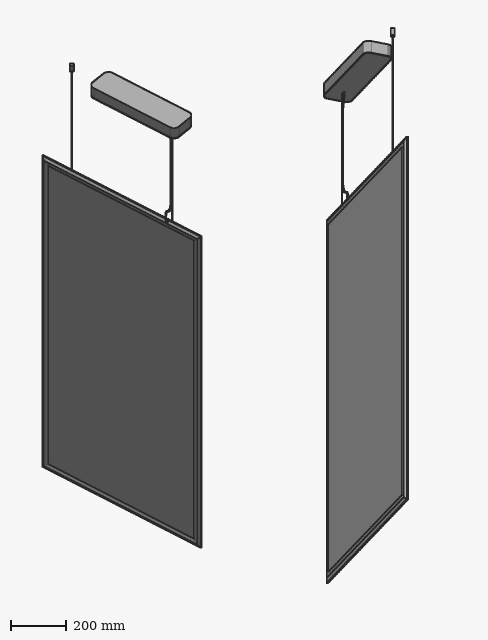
import cadquery as cq

frame_width = 734.69
frame_height = 1469.11
overall_height = 1969.11

rim_depth = 5.0
outer_slope_width = 13.0
outer_slope_rise = 6.0
inner_slope_width = 17.0
inner_slope_drop = 2.8

rim_face = rim_depth / 2
crest_face = rim_face + outer_slope_rise
panel_face = crest_face - inner_slope_drop
panel_inset = outer_slope_width + inner_slope_width

canopy_length = 400.0
canopy_depth = 110.12
canopy_height = 50.0
canopy_corner_radius = 23.0
canopy_foot_height = 3.0
canopy_foot_inset = 0.5
canopy_center_x = 89.0
canopy_bottom = overall_height - canopy_height

wire_offset = 232.0
wire_diameter = 3.0
gripper_diameter = 15.5
gripper_height = 32.0
gripper_chamfer = 3.0
gripper_bottom = overall_height - gripper_height

cable_diameter = 5.0
cable_end_x = 213.0
cable_wire_gap = 0.5
cable_bow_y = -13.0
cable_bow_lean = 3.0
cable_run_x = wire_offset - wire_diameter / 2 - cable_diameter / 2 - cable_wire_gap
cable_entry_drop = 6.0
cable_entry_y = -rim_face
cable_entry_z = frame_height - cable_entry_drop
cable_bow_low_z = frame_height + 10.0
cable_bow_high_z = frame_height + 45.0
cable_run_low_z = frame_height + 110.0
cable_run_high_z = canopy_bottom - 80.0


def slab(inset, y_front, y_back):
    """Upright rectangular slab, inset from the frame outline on all four sides."""
    return (
        cq.Workplane("XZ", origin=(0, y_back, frame_height / 2))
        .rect(frame_width - 2 * inset, frame_height - 2 * inset)
        .extrude(y_back - y_front)
    )


def sloped_slab(inset_front, y_front, inset_back, y_back):
    """Upright slab whose four sides slope between two insets."""
    return (
        cq.Workplane("XZ", origin=(0, y_back, frame_height / 2))
        .rect(frame_width - 2 * inset_back, frame_height - 2 * inset_back)
        .workplane(offset=y_back - y_front)
        .rect(frame_width - 2 * inset_front, frame_height - 2 * inset_front)
        .loft(ruled=True)
    )


def make_frame():
    rim = slab(0, -rim_face, rim_face)
    front_slope = sloped_slab(outer_slope_width, -crest_face, 0, -rim_face)
    back_slope = sloped_slab(0, rim_face, outer_slope_width, crest_face)
    front_recess = sloped_slab(outer_slope_width, -crest_face, panel_inset, -panel_face)
    window = slab(panel_inset, -panel_face, crest_face)
    return rim.union(front_slope).union(back_slope).cut(front_recess).cut(window)


def make_panel():
    return slab(panel_inset, -panel_face, crest_face)


def rounded_block(inset, bottom_z, height):
    """Block with rounded upright corners, inset from the canopy outline."""
    return (
        cq.Workplane("XY", origin=(canopy_center_x, 0, bottom_z))
        .rect(canopy_length - 2 * inset, canopy_depth - 2 * inset)
        .extrude(height)
        .edges("|Z")
        .fillet(canopy_corner_radius - inset)
    )


def make_canopy():
    foot = rounded_block(canopy_foot_inset, canopy_bottom, canopy_foot_height)
    body = rounded_block(0, canopy_bottom + canopy_foot_height, canopy_height - canopy_foot_height)
    return body.union(foot)


def make_gripper():
    return (
        cq.Workplane("XY", origin=(-wire_offset, 0, gripper_bottom))
        .circle(gripper_diameter / 2)
        .extrude(gripper_height)
        .faces("<Z")
        .chamfer(gripper_chamfer)
    )


def make_wire(x, top_z):
    return (
        cq.Workplane("XY", origin=(x, 0, frame_height))
        .circle(wire_diameter / 2)
        .extrude(top_z - frame_height)
    )


def make_cable():
    entry = cq.Vector(cable_end_x, cable_entry_y, cable_entry_z)
    bow_low = cq.Vector(cable_end_x, cable_bow_y, cable_bow_low_z)
    bow_high = cq.Vector(cable_end_x + cable_bow_lean, cable_bow_y, cable_bow_high_z)
    run_low = cq.Vector(cable_run_x, 0, cable_run_low_z)
    run_high = cq.Vector(cable_run_x, 0, cable_run_high_z)
    canopy_entry = cq.Vector(cable_end_x, 0, canopy_bottom)
    forward = cq.Vector(0, -1, 0)
    up = cq.Vector(0, 0, 1)
    path = cq.Wire.assembleEdges(
        [
            cq.Edge.makeSpline([entry, bow_low, bow_high, run_low], tangents=[forward, up]),
            cq.Edge.makeLine(run_low, run_high),
            cq.Edge.makeSpline([run_high, canopy_entry], tangents=[up, up]),
        ]
    )
    return cq.Workplane("XZ", origin=entry.toTuple()).circle(cable_diameter / 2).sweep(path)


cable = make_cable()
frame = make_frame().cut(cable)
panel = make_panel()
canopy = make_canopy()
gripper = make_gripper()
wires = [
    make_wire(x, top_z)
    for x, top_z in ((-wire_offset, gripper_bottom), (wire_offset, canopy_bottom))
]

result = cq.Compound.makeCompound(
    [frame.val(), panel.val(), canopy.val(), gripper.val(), cable.val()]
    + [wire.val() for wire in wires]
)